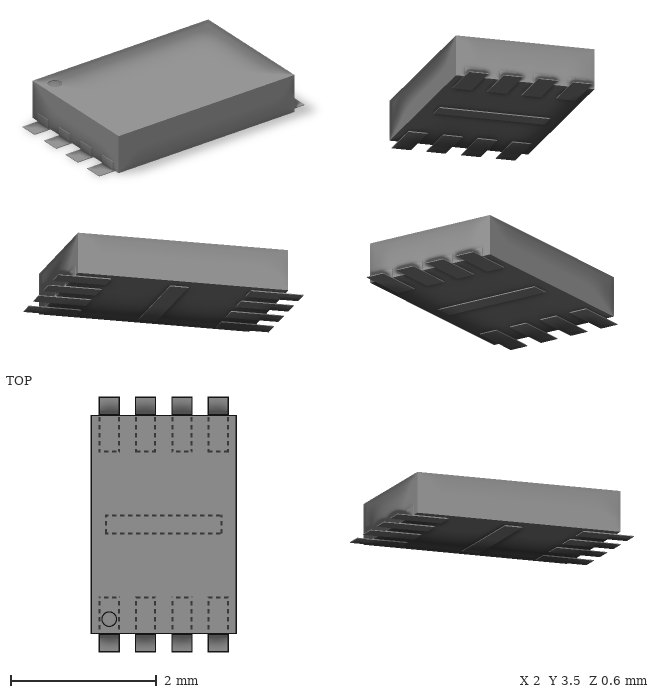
import cadquery as cq

overall_length = 3.5
overall_height = 0.6
body_width = 2.0
body_length = 3.0

sheet_thickness = 0.01
pad_margin = 0.015

leads_per_end = 4
lead_pitch = body_width / leads_per_end
lead_width = 0.25
lead_top_height = 0.147

pad_width = lead_width + 2 * pad_margin
pad_length = 0.752

centre_pad_width = 1.6
centre_pad_length = 0.26

mark_diameter = 0.2
mark_depth = sheet_thickness
mark_to_end = 0.2

body_bottom = 2 * sheet_thickness
body_half_length = body_length / 2
first_lead_x = -lead_pitch * (leads_per_end - 1) / 2
pad_inner_y = overall_length / 2 - pad_length


def block(size_x, size_y, size_z, centre_x, centre_y, bottom_z):
    """Box centred on a point in plan, standing on the given height."""
    box = cq.Workplane("XY").box(size_x, size_y, size_z, centered=(True, True, False))
    return box.translate((centre_x, centre_y, bottom_z))


def make_body():
    """Plain moulded block with the round pin-one mark in line with the first lead."""
    body_height = overall_height - body_bottom
    body = block(body_width, body_length, body_height, 0, 0, body_bottom)
    mark_y = mark_to_end - body_half_length
    mark = (
        cq.Workplane("XY", origin=(first_lead_x, mark_y, overall_height))
        .circle(mark_diameter / 2)
        .extrude(-mark_depth)
    )
    return body.cut(mark)


def make_lead(x, end):
    """One L-shaped lead on its pad; end is -1 or +1 along Y."""
    pad_y = end * (overall_length - pad_length) / 2
    pad = block(pad_width, pad_length, sheet_thickness, x, pad_y, 0)

    foot_inner_y = pad_inner_y + pad_margin
    foot_outer_y = body_half_length + sheet_thickness
    foot_length = foot_outer_y - foot_inner_y
    foot_y = end * (foot_inner_y + foot_outer_y) / 2
    foot = block(lead_width, foot_length, sheet_thickness, x, foot_y, sheet_thickness)

    upright_height = lead_top_height - sheet_thickness
    upright_y = end * (body_half_length + sheet_thickness / 2)
    upright = block(lead_width, sheet_thickness, upright_height, x, upright_y, sheet_thickness)
    return pad.union(foot).union(upright)


def make_centre_pad():
    """Bar under the middle of the body and the smaller sheet joining it to the body."""
    lower = block(centre_pad_width, centre_pad_length, sheet_thickness, 0, 0, 0)
    upper_width = centre_pad_width - 2 * pad_margin
    upper_length = centre_pad_length - 2 * pad_margin
    upper = block(upper_width, upper_length, sheet_thickness, 0, 0, sheet_thickness)
    return lower.union(upper)


result = make_body().union(make_centre_pad())
for end in (-1, 1):
    for index in range(leads_per_end):
        result = result.union(make_lead(first_lead_x + index * lead_pitch, end))